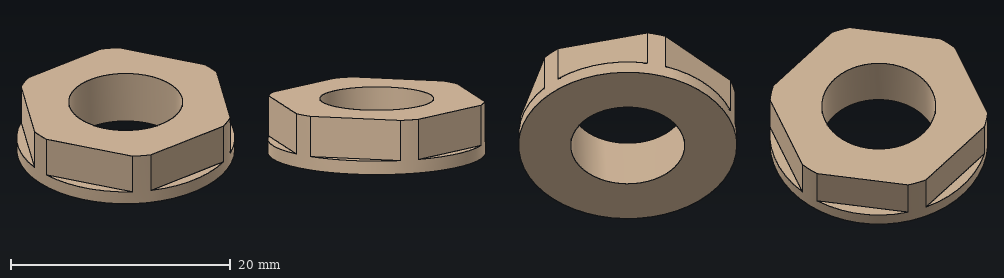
import cadquery as cq
import math

outer_diameter = 19.88
total_height = 5.0
flange_height = 1.27
across_flats = 18.01
bore_diameter = 10.38

hex_sides = 6
across_corners = across_flats / math.cos(math.pi / hex_sides)

envelope = cq.Workplane("XY").circle(outer_diameter / 2).extrude(total_height)

hex_prism = (
    cq.Workplane("XY")
    .workplane(offset=flange_height)
    .polygon(hex_sides, across_corners)
    .extrude(total_height - flange_height)
)

hex_head = hex_prism.intersect(envelope)

flange = cq.Workplane("XY").circle(outer_diameter / 2).extrude(flange_height)
bore = cq.Workplane("XY").circle(bore_diameter / 2).extrude(total_height)

result = flange.union(hex_head).cut(bore)